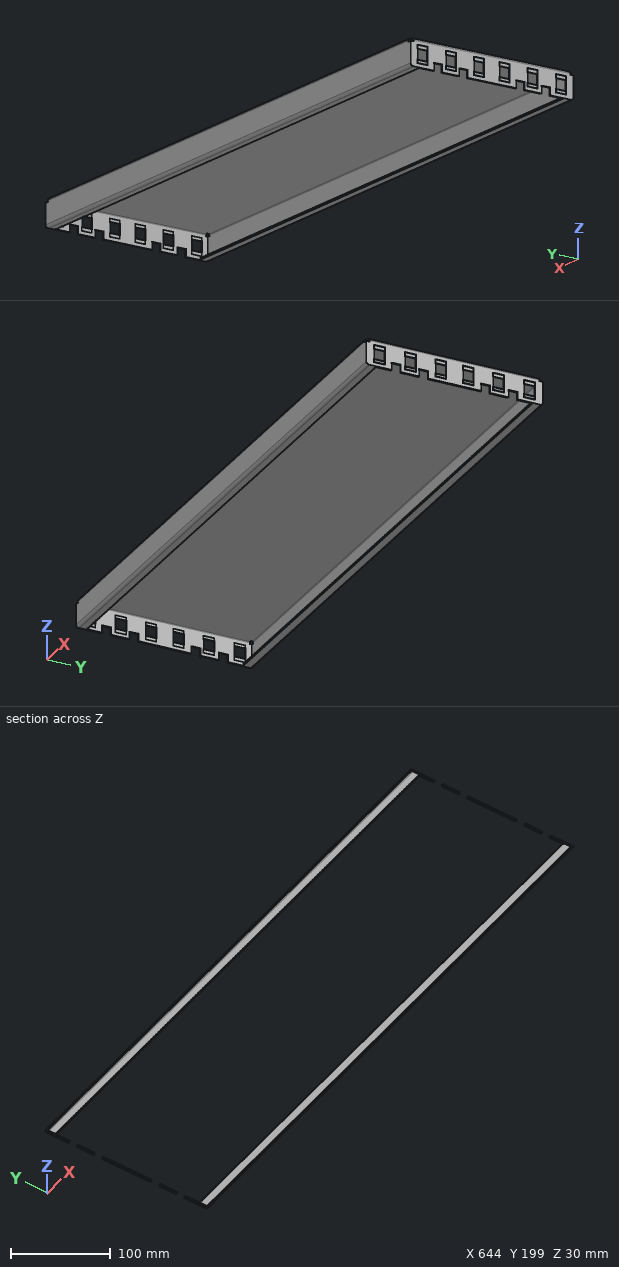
import cadquery as cq

LENGTH = 644.0
WIDTH = 199.0
HEIGHT = 30.0
SHEET = 2.0

BEND_RADIUS = 2.5
LIP_BEND_RADIUS = 3.0
INNER_BEND_RADIUS = BEND_RADIUS - SHEET
INNER_LIP_BEND_RADIUS = LIP_BEND_RADIUS - SHEET
CORNER_RELIEF = 4.0

LIP_WIDTH = 11.5

WINDOW_OFFSETS = (15.5, 49.5, 84.5)
WINDOW_WIDTH = 12.0
WINDOW_HEIGHT = 11.5
WINDOW_BOTTOM = 8.5
RECESS_HEIGHT = 19.0
RECESS_DEPTH = SHEET / 2

NOTCH_OFFSETS = (35.0, 66.0)
NOTCH_WIDTH = 10.0
NOTCH_HEIGHT = 8.5


def block(length, width, bottom, top):
    """Box centred in X and Y, spanning the given heights."""
    box = cq.Workplane("XY").box(length, width, top - bottom, centered=(True, True, False))
    return box.translate((0, 0, bottom))


def shelf_shell():
    """Sheet tray, open below, with rounded folds and a return lip on each long side."""
    outside = block(LENGTH, WIDTH, 0, HEIGHT)
    outside = outside.faces(">Z").edges().fillet(BEND_RADIUS)
    outside = outside.faces("<Z").edges("|X").fillet(LIP_BEND_RADIUS)

    inside = block(LENGTH - 2 * SHEET, WIDTH - 2 * SHEET, SHEET, HEIGHT - SHEET)
    inside = inside.faces(">Z").edges().fillet(INNER_BEND_RADIUS)
    inside = inside.faces("<Z").edges("|X").fillet(INNER_LIP_BEND_RADIUS)

    bottom_opening = block(LENGTH - 2 * SHEET, WIDTH - 2 * LIP_WIDTH, 0, HEIGHT / 2)
    return outside.cut(inside).cut(bottom_opening)


def end_cutter(side, offset, width, depth, bottom, top):
    """Cutter of the given depth into the outer face of the end plate on one side (-1 or 1) of X."""
    cutter = block(depth, width, bottom, top)
    return cutter.translate((side * (LENGTH - depth) / 2, offset, 0))


def mirrored(offsets):
    return [sign * offset for offset in offsets for sign in (-1, 1)]


def window_cutter(side, offset):
    """Window through the plate with a taller shallow recess around it on the outside."""
    middle = WINDOW_BOTTOM + WINDOW_HEIGHT / 2
    recess_bottom = middle - RECESS_HEIGHT / 2
    recess_top = middle + RECESS_HEIGHT / 2
    opening = end_cutter(side, offset, WINDOW_WIDTH, SHEET, WINDOW_BOTTOM, WINDOW_BOTTOM + WINDOW_HEIGHT)
    recess = end_cutter(side, offset, WINDOW_WIDTH, RECESS_DEPTH, recess_bottom, recess_top)
    return opening.union(recess)


def cut_end_plate(body, side):
    """Cut the row of windows and the bottom notches in one end plate."""
    for offset in mirrored(WINDOW_OFFSETS):
        body = body.cut(window_cutter(side, offset))
    for offset in mirrored(NOTCH_OFFSETS):
        body = body.cut(end_cutter(side, offset, NOTCH_WIDTH, SHEET, 0, NOTCH_HEIGHT))
    return body


def corner_reliefs():
    """Small square cut-outs at the four top corners, where the folds meet."""
    return (
        cq.Workplane("XY", origin=(0, 0, HEIGHT - CORNER_RELIEF))
        .rect(LENGTH - CORNER_RELIEF, WIDTH - CORNER_RELIEF, forConstruction=True)
        .vertices()
        .rect(CORNER_RELIEF, CORNER_RELIEF)
        .extrude(CORNER_RELIEF)
    )


shelf = shelf_shell()
for side in (-1, 1):
    shelf = cut_end_plate(shelf, side)
result = shelf.cut(corner_reliefs())